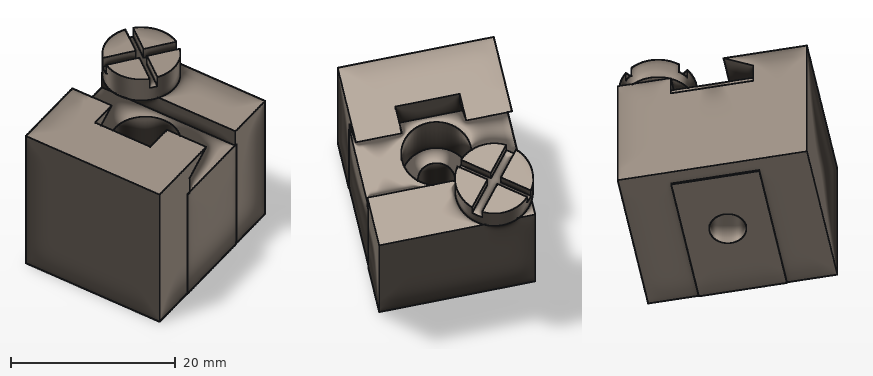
import cadquery as cq

block_width = 19.4
block_depth = 23.4
block_height = 20.8

channel_front = 6.63
channel_back = 16.81
overhang = 3.7
ledge_drop = 2.35
floor_height = 15.47
ledge_height = block_height - ledge_drop

liner_thickness = 0.6
liner_inset = 0.02
liner_top = floor_height + liner_thickness

bore_x = block_width / 2
bore_y = 11.66
bore_diameter = 4.5
counterbore_diameter = 8.57
counterbore_depth = 7.18
notch_width = 8.0

plate_left = 1.72
plate_front = 6.23
plate_depth = 10.9
plate_thickness = 0.25
right_inset = 0.1
core_right = block_width - right_inset

head_diameter = 9.48
head_height = 3.42
head_projection = 0.55
head_x = head_diameter / 2 - head_projection
head_y = block_depth + head_projection - head_diameter / 2
head_top = ledge_height + head_height
slot_depth = 1.45
slot_angle = 51.5
wide_slot = 1.35
narrow_slot = 0.98


def box(x, y, z, width, depth, height):
    """Box placed by its left, front, bottom corner."""
    return cq.Workplane("XY").box(width, depth, height, centered=False).translate((x, y, z))


def make_block():
    """Constant profile in YZ, extruded across the full width."""
    profile = [
        (0, 0),
        (block_depth, 0),
        (block_depth, ledge_height),
        (channel_back, ledge_height),
        (channel_back, floor_height),
        (channel_front, floor_height),
        (channel_front, ledge_height),
        (channel_front + overhang, block_height),
        (0, block_height),
    ]
    return cq.Workplane("YZ").polyline(profile).close().extrude(block_width)


def make_liner():
    return box(liner_inset, channel_front, floor_height,
               core_right - liner_inset, channel_back - channel_front, liner_thickness)


def make_plate():
    return box(plate_left, plate_front, -plate_thickness,
               core_right - plate_left, plate_depth, plate_thickness)


def make_right_recess():
    """Shallow recess in the right face, from the underside up to the channel."""
    return box(core_right, plate_front, 0, right_inset, plate_depth, liner_top)


def make_notch():
    """Cutter that opens the overhang above the counterbore."""
    return box(bore_x - notch_width / 2, channel_front, ledge_height,
               notch_width, overhang, ledge_drop)


def make_bore():
    """Through hole with a counterbore sunk from the liner."""
    bottom = cq.Workplane("XY", origin=(bore_x, bore_y, -plate_thickness))
    hole = bottom.circle(bore_diameter / 2).extrude(liner_top + plate_thickness)
    top = cq.Workplane("XY", origin=(bore_x, bore_y, liner_top))
    return hole.union(top.circle(counterbore_diameter / 2).extrude(-counterbore_depth))


def make_screw_head():
    """Cylindrical head with two crossed slots of different widths."""
    seat = cq.Workplane("XY", origin=(head_x, head_y, ledge_height))
    head = seat.circle(head_diameter / 2).extrude(head_height)
    for width, angle in ((wide_slot, slot_angle), (narrow_slot, slot_angle + 90)):
        top = cq.Workplane("XY", origin=(head_x, head_y, head_top)).transformed(rotate=(0, 0, angle))
        head = head.cut(top.rect(2 * head_diameter, width).extrude(-slot_depth))
    return head


body = make_block().union(make_liner()).union(make_plate())
body = body.cut(make_right_recess()).cut(make_notch()).cut(make_bore())
result = body.union(make_screw_head())